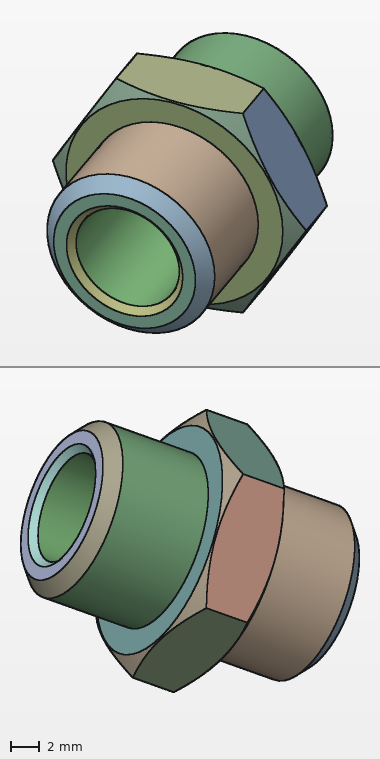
import cadquery as cq
import math

length = 21.0
hex_thickness = 5.0
across_flats = 17.0
across_corners = across_flats / math.cos(math.radians(30))

barrel_diameter = 13.0
barrel_chamfer = 1.0
bore_diameter = 8.0
bore_chamfer = 0.5

hex_face_diameter = 16.8
hex_chamfer_angle = 30.0


def cylinder_along_y(diameter, total_length):
    return cq.Workplane("XZ").circle(diameter / 2).extrude(total_length / 2, both=True)


def make_barrel():
    return cylinder_along_y(barrel_diameter, length).faces("<Y or >Y").chamfer(barrel_chamfer)


def make_hexagon():
    hexagon = cq.Workplane("XZ").polygon(6, across_corners).extrude(hex_thickness / 2, both=True)

    face_radius = hex_face_diameter / 2
    corner_radius = across_corners / 2
    face_y = hex_thickness / 2
    corner_drop = (corner_radius - face_radius) * math.tan(math.radians(hex_chamfer_angle))
    corner_y = face_y - corner_drop
    envelope = (
        cq.Workplane("XY")
        .moveTo(0, -face_y)
        .lineTo(face_radius, -face_y)
        .lineTo(corner_radius, -corner_y)
        .lineTo(corner_radius, corner_y)
        .lineTo(face_radius, face_y)
        .lineTo(0, face_y)
        .close()
        .revolve(360, (0, 0, 0), (0, 1, 0))
    )
    return hexagon.intersect(envelope)


body = make_barrel().union(make_hexagon())
bored = body.cut(cylinder_along_y(bore_diameter, length))

bore_mouths = cq.selectors.RadiusNthSelector(0)
result = bored.faces("<Y or >Y").edges(bore_mouths).chamfer(bore_chamfer)